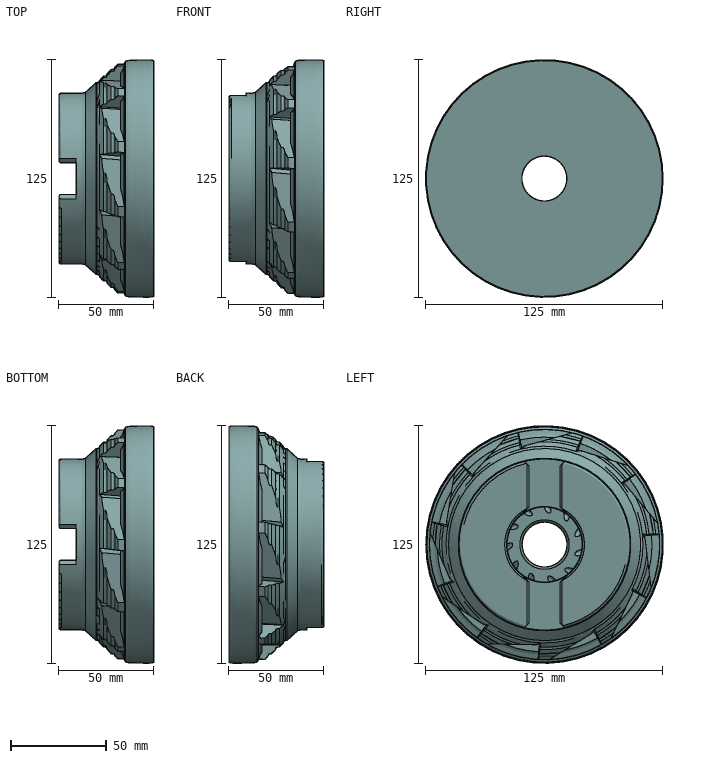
import cadquery as cq
import math

LENGTH = 50.0
OUTER_RADIUS = 62.5

HUB_RADIUS = 45.0
HUB_ROUND = 1.2
HUB_END_X = 12.1
CONE_START = (13.9, 45.4)

STEP_COUNT = 3
STEP_START_X = 19.5
STEP_START_RADIUS = 50.5
STEP_PITCH_X = 4.0
STEP_PITCH_RADIUS = 3.5
STEP_FLAT = 0.6
STEP_ARC_RADIUS = 1.2
TIP_START_X = 31.0
TIP_RADIUS = 60.5

WALL_BASE = (32.5, 56.5)
WALL_BEND = (33.5, 58.0)
WALL_TIP = (34.4, 60.6)
RIM_START = (35.1, 61.9)
RIM_EDGE = (36.6, 62.2)
RIM_CROWN = (40.0, 62.4)
RIM_FULL_X = 44.5
RIM_FULL_END_X = 47.4
RIM_TAPER_END = (49.0, 62.4)
RIM_CHAMFER = 0.5

TOOTH_COUNT = 11
TOOTH_ANGLE = 14.2
TOOTH_SKEW = 5.0
GULLET_ROOT = 51.7
GULLET_FLOOR = 52.9
GULLET_FLOOR_END = 53.4
ROOT_STRIP_WIDTH = 2.2
GULLET_LENGTH = 30.0
GULLET_INNER_RADIUS = 47.5
GULLET_RUN_OUT = 6.2
GULLET_START_X = STEP_START_X + STEP_FLAT + STEP_ARC_RADIUS

BORE_RADIUS = 11.7
BORE_CHAMFER = 1.2
POCKET_DEPTH = 29.0
POCKET_RADIUS = 19.7
POCKET_RELIEF_RADIUS = 20.0
POCKET_MOUTH_CHAMFER = 1.0
POCKET_MOUTH_END_X = 10.1
POCKET_RELIEF_X = 21.1
GROOVE_START_X = 24.1
GROOVE_END_X = 25.5
GROOVE_RADIUS = 20.2

SLOT_HALF_WIDTH = 8.2
SLOT_DEPTH = 9.0
SLOT_EDGE_CHAMFER = 0.9
SLOT_OUTER_FLARE_Z = 41.4
SLOT_INNER_FLARE_Z = 19.7
SLOT_FLARE = 4.0

HOLE_DIAMETER = 2.9
HOLE_RADIUS_POSITION = 19.2
HOLE_ANGLE = 93.5
HOLE_SWING = 32.0
HOLE_SLANT = 60.0
HOLE_DEPTH = 5.0


def revolve_about_x(outline):
    return outline.close().revolve(360, (0, 0, 0), (1, 0, 0))


def turned_body():
    outline = (
        cq.Workplane("XY")
        .moveTo(0, 0)
        .lineTo(0, HUB_RADIUS - HUB_ROUND)
        .radiusArc((HUB_ROUND, HUB_RADIUS), HUB_ROUND)
        .lineTo(HUB_END_X, HUB_RADIUS)
        .lineTo(*CONE_START)
    )
    diagonal = STEP_ARC_RADIUS * math.sqrt(0.5)
    for step in range(STEP_COUNT):
        x = STEP_START_X + step * STEP_PITCH_X
        radius = STEP_START_RADIUS + step * STEP_PITCH_RADIUS
        arc_x = x + STEP_FLAT
        arc_top = radius + STEP_ARC_RADIUS
        outline = (
            outline.lineTo(x, radius)
            .lineTo(arc_x, radius)
            .threePointArc(
                (arc_x + diagonal, arc_top - diagonal),
                (arc_x + STEP_ARC_RADIUS, arc_top),
            )
        )
    outline = (
        outline.lineTo(TIP_START_X, TIP_RADIUS)
        .lineTo(WALL_TIP[0], TIP_RADIUS)
        .lineTo(*WALL_TIP)
        .lineTo(*RIM_START)
        .lineTo(*RIM_EDGE)
        .lineTo(*RIM_CROWN)
        .lineTo(RIM_FULL_X, OUTER_RADIUS)
        .lineTo(RIM_FULL_END_X, OUTER_RADIUS)
        .lineTo(*RIM_TAPER_END)
        .lineTo(LENGTH, OUTER_RADIUS - RIM_CHAMFER)
        .lineTo(LENGTH, 0)
    )
    return revolve_about_x(outline)


def gullet_limits():
    """Ring that keeps the gullets between the first step and the collar wall."""
    outline = (
        cq.Workplane("XY")
        .moveTo(GULLET_START_X, GULLET_INNER_RADIUS)
        .lineTo(WALL_BASE[0], GULLET_INNER_RADIUS)
        .lineTo(*WALL_BASE)
        .lineTo(*WALL_BEND)
        .lineTo(*WALL_TIP)
        .lineTo(GULLET_START_X, WALL_TIP[1])
    )
    return revolve_about_x(outline)


def tooth_gullets():
    """Cuts with a radial tooth face, a narrow rising root strip and a flat floor."""
    profile = [
        (0, GULLET_ROOT),
        (-ROOT_STRIP_WIDTH, GULLET_FLOOR),
        (-GULLET_LENGTH, GULLET_FLOOR_END),
        (-GULLET_LENGTH, OUTER_RADIUS),
        (0, OUTER_RADIUS),
    ]
    cutter = (
        cq.Workplane("YZ", origin=(GULLET_START_X - GULLET_RUN_OUT, 0, 0))
        .polyline(profile)
        .close()
        .extrude(LENGTH - GULLET_START_X)
        .rotate((GULLET_START_X, 0, 0), (GULLET_START_X, 0, 1), -TOOTH_SKEW)
        .intersect(gullet_limits())
    )
    return repeat_per_tooth(cutter, TOOTH_ANGLE)


def repeat_per_tooth(cutter, first_angle):
    """Copies of a cutter drawn at +Z; angles run from +Z toward +Y."""
    return [
        cutter.rotate((0, 0, 0), (1, 0, 0), -first_angle - index * 360.0 / TOOTH_COUNT)
        for index in range(TOOTH_COUNT)
    ]


def stepped_bore():
    outline = (
        cq.Workplane("XY")
        .moveTo(0, 0)
        .lineTo(0, POCKET_RELIEF_RADIUS + POCKET_MOUTH_CHAMFER)
        .lineTo(POCKET_MOUTH_CHAMFER, POCKET_RELIEF_RADIUS)
        .lineTo(POCKET_MOUTH_END_X, POCKET_RELIEF_RADIUS)
        .lineTo(POCKET_MOUTH_END_X, POCKET_RADIUS)
        .lineTo(POCKET_RELIEF_X, POCKET_RADIUS)
        .lineTo(POCKET_RELIEF_X, POCKET_RELIEF_RADIUS)
        .lineTo(GROOVE_START_X, POCKET_RELIEF_RADIUS)
        .lineTo(GROOVE_START_X, GROOVE_RADIUS)
        .lineTo(GROOVE_END_X, GROOVE_RADIUS)
        .lineTo(GROOVE_END_X, POCKET_RELIEF_RADIUS)
        .lineTo(POCKET_DEPTH, POCKET_RELIEF_RADIUS)
        .lineTo(POCKET_DEPTH, BORE_RADIUS + BORE_CHAMFER)
        .lineTo(POCKET_DEPTH + BORE_CHAMFER, BORE_RADIUS)
        .lineTo(LENGTH, BORE_RADIUS)
        .lineTo(LENGTH, 0)
    )
    return revolve_about_x(outline)


def driving_slot():
    flare_end = OUTER_RADIUS - SLOT_OUTER_FLARE_Z
    flared_side = [
        (SLOT_HALF_WIDTH + SLOT_FLARE, SLOT_INNER_FLARE_Z - SLOT_FLARE),
        (SLOT_HALF_WIDTH, SLOT_INNER_FLARE_Z),
        (SLOT_HALF_WIDTH, SLOT_OUTER_FLARE_Z),
        (SLOT_HALF_WIDTH + flare_end, OUTER_RADIUS),
    ]
    mirrored_side = [(-y, z) for y, z in reversed(flared_side)]
    half = cq.Workplane("YZ").polyline(flared_side + mirrored_side).close().extrude(SLOT_DEPTH)
    edges = (
        cq.Workplane("XY", origin=(0, 0, -OUTER_RADIUS))
        .moveTo(0, SLOT_HALF_WIDTH + SLOT_EDGE_CHAMFER)
        .lineTo(SLOT_EDGE_CHAMFER, SLOT_HALF_WIDTH)
        .lineTo(SLOT_EDGE_CHAMFER, -SLOT_HALF_WIDTH)
        .lineTo(0, -SLOT_HALF_WIDTH - SLOT_EDGE_CHAMFER)
        .close()
        .extrude(2 * OUTER_RADIUS)
    )
    return half.union(half.mirror("XY")).union(edges)


def floor_holes():
    slant = math.radians(HOLE_SLANT)
    swing = math.radians(HOLE_SWING)
    direction = cq.Vector(
        math.cos(slant),
        math.sin(slant) * math.sin(swing),
        math.sin(slant) * math.cos(swing),
    )
    entry = cq.Vector(POCKET_DEPTH, 0, HOLE_RADIUS_POSITION)
    lead_in = HOLE_DIAMETER
    hole = cq.Solid.makeCylinder(
        HOLE_DIAMETER / 2, HOLE_DEPTH + lead_in, entry - direction * lead_in, direction
    )
    return repeat_per_tooth(cq.Workplane(obj=hole), HOLE_ANGLE)


result = turned_body()
for gullet in tooth_gullets():
    result = result.cut(gullet)
result = result.cut(stepped_bore()).cut(driving_slot())
for hole in floor_holes():
    result = result.cut(hole)